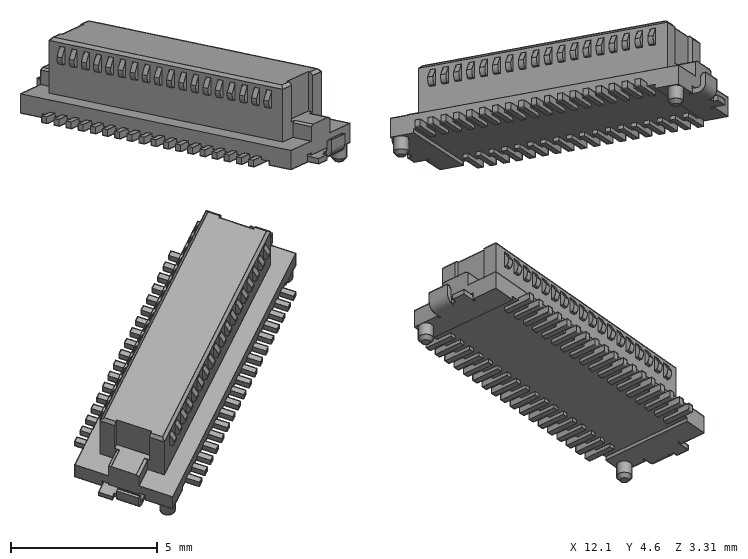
import cadquery as cq

base_length = 11.12
base_width = 3.6
base_height = 0.69
underside_relief_length = 9.32
underside_relief_height = 0.15

tower_length = 9.61
tower_width = 2.37
tower_top = 2.69
tower_chamfer = 0.11
notch_width = 1.28
notch_depth = 0.18

lug_width = 1.14
lug_top = 1.27
lug_chamfer_width = 0.11
lug_chamfer_height = 0.06

contacts_per_row = 18
row_length = 8.5
contact_width = 0.2
lead_span = 4.6
lead_height = 0.25
lead_round = 0.05
bump_reach = 0.18
bump_top = 2.45
bump_crest_top = 2.12
bump_crest_bottom = 2.05
bump_bottom = 1.84
bump_foot = 0.1

peg_diameter = 0.53
peg_length = 0.62
peg_tip_diameter = 0.29
peg_taper_height = 0.15
peg_spacing = 10.6
peg_y = 1.51

overall_length = 12.1
metal_thickness = 0.19
hook_front_y = -0.06
hook_back_y = 0.75
bend_radius = 0.33
hook_chamfer = 0.1
foot_end_x = 5.99
foot_front_y = -0.75
foot_back_y = -0.24
neck_end_x = 5.82
tab_root_x = 5.2
slot_width = 1.6
slot_height = 0.25
slot_depth = 0.12

contact_pitch = row_length / (contacts_per_row - 1)


def block(x_range, y_range, z_range):
    """Axis-aligned block between the given limits."""
    size = [high - low for low, high in (x_range, y_range, z_range)]
    corner = (x_range[0], y_range[0], z_range[0])
    return cq.Workplane("XY").box(*size, centered=False).translate(corner)


def centred_block(length, width, bottom, top):
    """Block centred on the Z axis."""
    return block((-length / 2, length / 2), (-width / 2, width / 2), (bottom, top))


def make_base():
    base = centred_block(base_length, base_width, 0, base_height)
    relief = centred_block(underside_relief_length, base_width, 0, underside_relief_height)
    return base.cut(relief)


def make_tower():
    tower = centred_block(tower_length, tower_width, underside_relief_height, tower_top)
    return tower.faces(">Z").edges().chamfer(tower_chamfer)


def make_notch():
    """Vertical notch in the +X end of the tower."""
    end = tower_length / 2
    half_width = notch_width / 2
    return block((end - notch_depth, end), (-half_width, half_width), (lug_top, tower_top))


def make_lug():
    """Lug between the tower and the +X end of the base, with bevelled top edges."""
    half_width = lug_width / 2
    half_flat = half_width - lug_chamfer_width
    bevel_bottom = lug_top - lug_chamfer_height
    start = tower_length / 2 - notch_depth
    outline = [
        (-half_width, underside_relief_height),
        (half_width, underside_relief_height),
        (half_width, bevel_bottom),
        (half_flat, lug_top),
        (-half_flat, lug_top),
        (-half_width, bevel_bottom),
    ]
    lug = cq.Workplane("YZ").polyline(outline).close().extrude(base_length / 2 - start)
    return lug.translate((start, 0, 0))


def make_contact():
    """Lead and contact bump on the +Y side, centred on x = 0."""
    half_width = contact_width / 2
    wall = tower_width / 2
    lead = block((-half_width, half_width), (wall, lead_span / 2), (0, lead_height))
    lead = lead.faces(">Y").edges("<Z").fillet(lead_round)

    crest = wall + bump_reach
    bump = (
        cq.Workplane("YZ")
        .moveTo(wall - bump_reach, bump_top)
        .lineTo(wall, bump_top)
        .lineTo(crest, bump_crest_top)
        .lineTo(crest, bump_crest_bottom)
        .tangentArcPoint((wall + bump_foot, bump_bottom), relative=False)
        .lineTo(wall - bump_reach, bump_bottom)
        .close()
        .extrude(half_width, both=True)
    )
    return lead, bump


def make_peg():
    """Locating peg with a tapered tip, at the +X end."""
    radius = peg_diameter / 2
    tip_radius = peg_tip_diameter / 2
    half_outline = [
        (0, 0),
        (radius, 0),
        (radius, peg_taper_height - peg_length),
        (tip_radius, -peg_length),
        (0, -peg_length),
    ]
    peg = cq.Workplane("XZ").polyline(half_outline).close().revolve(360, (0, 0), (0, 1))
    return peg.translate((peg_spacing / 2, peg_y, 0))


def make_slot():
    """Slot in the +X end of the base around the root of the tab."""
    end = base_length / 2
    half_width = slot_width / 2
    return block((end - slot_depth, end), (-half_width, half_width), (0, slot_height))


def make_tab():
    """Hold-down tab at the +X end: flat foot, neck and upturned hook."""
    foot = block((tab_root_x, foot_end_x), (foot_front_y, foot_back_y), (0, metal_thickness))
    neck = block((tab_root_x, neck_end_x), (foot_back_y, hook_front_y), (0, metal_thickness))

    outer = overall_length / 2
    inner = outer - metal_thickness
    bend_x = outer - bend_radius
    hook = (
        cq.Workplane("XZ", origin=(0, hook_back_y, 0))
        .moveTo(tab_root_x, 0)
        .lineTo(bend_x, 0)
        .tangentArcPoint((outer, bend_radius), relative=False)
        .lineTo(outer, base_height)
        .lineTo(inner + hook_chamfer, base_height)
        .lineTo(inner, base_height - hook_chamfer)
        .lineTo(inner, bend_radius)
        .tangentArcPoint((bend_x, metal_thickness), relative=False)
        .lineTo(tab_root_x, metal_thickness)
        .close()
        .extrude(hook_back_y - hook_front_y)
    )
    return foot.union(neck).union(hook)


def on_both_ends(shape):
    """The shape and its mirror image at the -X end."""
    return shape.union(shape.mirror("YZ"))


result = make_base().union(make_tower())
result = result.cut(on_both_ends(make_notch())).cut(on_both_ends(make_slot()))
for end_feature in (make_lug(), make_peg(), make_tab()):
    result = result.union(on_both_ends(end_feature))

contact_places = [
    (index * contact_pitch - row_length / 2, 0) for index in range(contacts_per_row)
]
for contact_piece in make_contact():
    row = cq.Workplane("XY").pushPoints(contact_places).eachpoint(
        lambda place: contact_piece.val().moved(place)
    )
    result = result.union(row).union(row.mirror("XZ"))